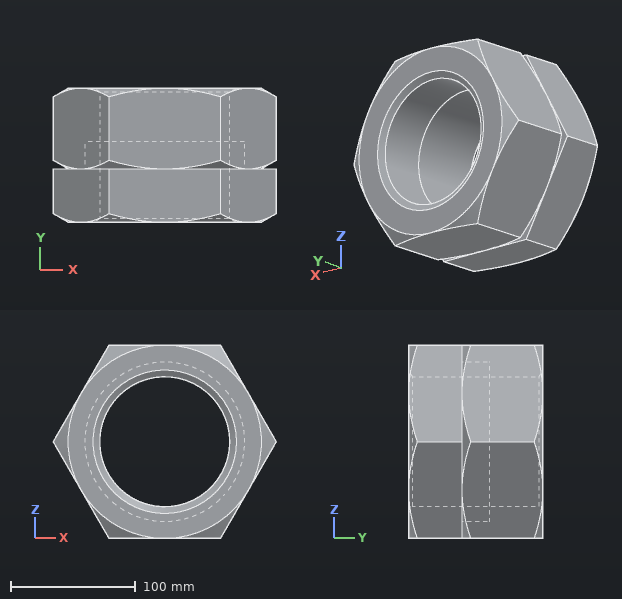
import cadquery as cq
import math


across_flats = 155.0
bore_diameter = 104.0
countersink_diameter = 115.0
chamfer_angle = 30.0
overall_length = 107.6
front_hex_height = 42.8
collar_length = 22.0
collar_diameter = 128.0

chamfer_slope = math.tan(math.radians(chamfer_angle))
across_corners = across_flats / math.cos(math.radians(30))
face_radius = across_flats / 2
corner_radius = across_corners / 2
corner_chamfer_depth = (corner_radius - face_radius) * chamfer_slope
bore_radius = bore_diameter / 2
countersink_radius = countersink_diameter / 2
countersink_depth = (countersink_radius - bore_radius) * chamfer_slope
rear_hex_height = overall_length - front_hex_height


def make_cylinder(diameter, start_y, length):
    """Round bar on the Y axis, reaching from start_y towards +Y."""
    return cq.Workplane("XZ", origin=(0, start_y, 0)).circle(diameter / 2).extrude(-length)


def make_envelope(height, chamfer_rear):
    """Turned shape around Y whose conical ends trim the hexagon corners."""
    profile = (
        cq.Workplane("XY")
        .lineTo(face_radius, 0)
        .lineTo(corner_radius, corner_chamfer_depth)
    )
    if chamfer_rear:
        profile = profile.lineTo(corner_radius, height - corner_chamfer_depth).lineTo(face_radius, height)
    else:
        profile = profile.lineTo(corner_radius, height)
    return profile.lineTo(0, height).close().revolve(360, (0, 0), (0, 1))


def make_hexagon(front_y, height, chamfer_rear):
    """Hexagon block reaching from front_y towards +Y, with two corners on the X axis."""
    hexagon = cq.Workplane("XZ").polygon(6, across_corners).extrude(-height)
    return hexagon.intersect(make_envelope(height, chamfer_rear)).translate((0, front_y, 0))


def make_through_bore():
    """Turned cutter for the whole stack: plain bore with a countersink at each outer end."""
    return (
        cq.Workplane("XY")
        .lineTo(countersink_radius, 0)
        .lineTo(bore_radius, countersink_depth)
        .lineTo(bore_radius, overall_length - countersink_depth)
        .lineTo(countersink_radius, overall_length)
        .lineTo(0, overall_length)
        .close()
        .revolve(360, (0, 0), (0, 1))
    )


def make_front_nut():
    """Nut with a flat, unchamfered rear face and a collar standing on it."""
    hexagon = make_hexagon(0, front_hex_height, chamfer_rear=False)
    collar = make_cylinder(collar_diameter, 0, front_hex_height + collar_length)
    return hexagon.union(collar).cut(make_through_bore())


def make_rear_nut():
    """Nut chamfered at both ends, recessed at the front for the collar."""
    hexagon = make_hexagon(front_hex_height, rear_hex_height, chamfer_rear=True)
    recess = make_cylinder(collar_diameter, front_hex_height, collar_length)
    return hexagon.cut(recess).cut(make_through_bore())


front_nut = make_front_nut()
rear_nut = make_rear_nut()

result = cq.Compound.makeCompound([front_nut.solids().val(), rear_nut.solids().val()])